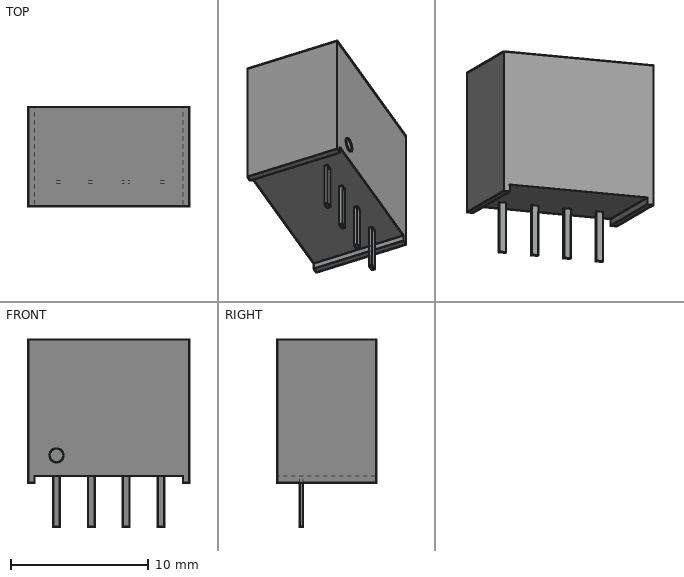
import cadquery as cq

LENGTH = 11.75
DEPTH = 7.25
TOTAL_HEIGHT = 13.65
PIN_DROP = 3.2
HOUSING_HEIGHT = TOTAL_HEIGHT - PIN_DROP
FOOT_LENGTH = 0.48
FOOT_HEIGHT = 0.5

PIN_COUNT = 4
PIN_PITCH = 2.54
PIN_WIDTH = 0.5
PIN_THICKNESS = 0.25
PIN_FROM_FRONT = 1.77

MARKER_RADIUS = 0.5
MARKER_THICKNESS = 0.05
MARKER_HEIGHT = 2.0

FIRST_PIN_X = -PIN_PITCH * (PIN_COUNT - 1) / 2
FRONT_Y = -DEPTH / 2
PIN_Y = FRONT_Y + PIN_FROM_FRONT


def make_marker():
    """Disc whose outer face lies in the front face of the housing."""
    return (
        cq.Workplane("XZ", origin=(FIRST_PIN_X, FRONT_Y, MARKER_HEIGHT))
        .circle(MARKER_RADIUS)
        .extrude(-MARKER_THICKNESS)
    )


def make_housing(marker):
    """Box with the channel under it and a recess that holds the marker."""
    on_base = (True, True, False)
    box = cq.Workplane("XY").box(LENGTH, DEPTH, HOUSING_HEIGHT, centered=on_base)
    channel = cq.Workplane("XY").box(LENGTH - 2 * FOOT_LENGTH, DEPTH, FOOT_HEIGHT, centered=on_base)
    return box.cut(channel).cut(marker)


def make_pin(x):
    """Flat lead hanging from the channel roof to below the feet."""
    return (
        cq.Workplane("XY", origin=(x, PIN_Y, -PIN_DROP))
        .rect(PIN_WIDTH, PIN_THICKNESS)
        .extrude(PIN_DROP + FOOT_HEIGHT)
    )


marker = make_marker()
housing = make_housing(marker)
pins = [make_pin(FIRST_PIN_X + i * PIN_PITCH) for i in range(PIN_COUNT)]

result = cq.Compound.makeCompound([housing.val(), marker.val(), *[pin.val() for pin in pins]])